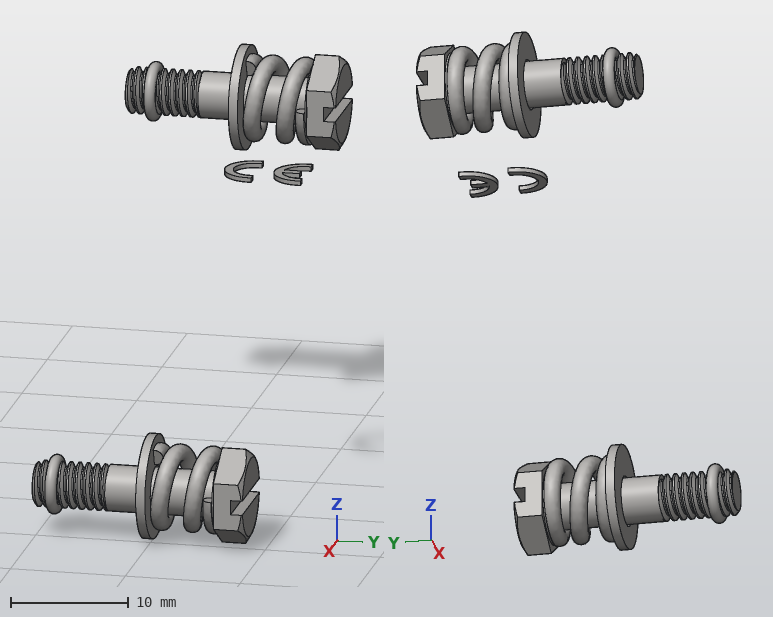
import cadquery as cq
import math


shank_radius = 2.0
shank_length = 16.0
head_flat_width = 7.0
head_corner_width = 8.4
head_side_width = 4.06
head_height = 2.5
head_chamfer_radius = 3.4
head_chamfer_angle = 30
face_ring_radius = 3.25
face_ring_height = 0.2
slot_width = 1.25
slot_depth = 1.0
head_base = shank_length + face_ring_height
head_top = head_base + head_height

thread_length = 6.4
thread_pitch = 0.75
thread_root_radius = 1.58
ridge_root_width = 0.62
ridge_crest_width = 0.15
ridge_sink = 0.05
ridge_start = -0.58
tip_radius = 1.7
tip_chamfer = 0.4
tip_envelope_radius = 2.1

washer_radius = 4.5
washer_bore_radius = 2.15
washer_base = 9.6
washer_thickness = 0.8

wire_radius = 0.75
coil_radius = 3.0
spring_base = washer_base + washer_thickness
spring_top = shank_length
active_pitch = 2.9
closed_pitch = 1.0
active_turns = 1.38
closed_turns = 0.71
points_per_turn = 12

ring_section_radius = 0.5
ring_centre_radius = 2.05

screw_spacing_x = 36.9
screw_spacing_z = 23.95
left_ring_height = 2.2
right_ring_height = 1.7
right_sag_x = -0.2
right_sag_z = 0.32

letter_outer_radius = 2.5
letter_stroke = 0.75
letter_end_length = 0.3
letter_thickness = 0.4
letter_x = 23.2
letter_base_z = 0.5
letter_c_y = 15.95
letter_e_y = 20.24
letter_bar_width = 0.8
letter_bar_tip = -0.25


def cylinder(radius, height, base=0.0):
    return cq.Workplane("XY").workplane(offset=base).circle(radius).extrude(height)


def make_thread_ridge():
    """Right-handed helical ridge, sunk a little into the core and running past both thread ends."""
    sunk_radius = thread_root_radius - ridge_sink
    flank_slope = (ridge_root_width - ridge_crest_width) / (shank_radius - thread_root_radius)
    sunk_half = (ridge_root_width + flank_slope * ridge_sink) / 2
    crest_half = ridge_crest_width / 2
    length = thread_length + thread_pitch - ridge_start
    path = cq.Workplane(cq.Wire.makeHelix(thread_pitch, length, sunk_radius))
    profile = cq.Workplane("XZ").polyline([
        (sunk_radius, -sunk_half),
        (shank_radius, -crest_half),
        (shank_radius, crest_half),
        (sunk_radius, sunk_half),
    ]).close()
    return profile.sweep(path, isFrenet=True).translate((0, 0, ridge_start))


def make_threaded_end():
    envelope = cylinder(tip_envelope_radius, thread_length).faces("<Z").chamfer(
        tip_chamfer, tip_envelope_radius - tip_radius
    )
    core = cylinder(thread_root_radius, thread_length)
    return core.union(make_thread_ridge().intersect(envelope))


def make_head():
    half_flats = head_flat_width / 2
    half_corners = head_corner_width / 2
    half_side = head_side_width / 2
    head = (
        cq.Workplane("XY").workplane(offset=head_base)
        .polyline([
            (half_flats, -half_side),
            (half_flats, half_side),
            (0, half_corners),
            (-half_flats, half_side),
            (-half_flats, -half_side),
            (0, -half_corners),
        ]).close().extrude(head_height)
    )
    cone_radius = head_chamfer_radius + head_height / math.tan(math.radians(head_chamfer_angle))
    envelope = (
        cq.Workplane("XZ")
        .polyline([
            (0, head_base),
            (cone_radius, head_base),
            (head_chamfer_radius, head_top),
            (0, head_top),
        ]).close().revolve(360, (0, 0, 0), (0, 1, 0))
    )
    slot = (
        cq.Workplane("XY").workplane(offset=head_top - slot_depth)
        .rect(2 * head_flat_width, slot_width).extrude(2 * slot_depth)
    )
    return head.intersect(envelope).cut(slot)


def make_ring(height):
    return (
        cq.Workplane("XZ").center(ring_centre_radius, height).circle(ring_section_radius)
        .revolve(360, (-ring_centre_radius, 0, 0), (-ring_centre_radius, 1, 0))
    )


def make_screw(ring):
    threaded = make_threaded_end()
    plain = cylinder(shank_radius, shank_length - thread_length, thread_length)
    face_ring = cylinder(face_ring_radius, face_ring_height, shank_length)
    return threaded.union(plain).union(face_ring).union(make_head()).cut(ring)


def make_washer(sag):
    """Washer disc shifted sideways by its play; its bore stays around the screw."""
    disc = cylinder(washer_radius, washer_thickness, washer_base).translate(sag)
    return disc.cut(cylinder(washer_bore_radius, washer_thickness, washer_base))


def spring_drop(turn):
    """Drop of the wire centre below the top end after the given number of turns."""
    closed_start = min(turn, closed_turns)
    active = min(max(turn - closed_turns, 0), active_turns)
    closed_end = max(turn - closed_turns - active_turns, 0)
    return closed_pitch * (closed_start + closed_end) + active_pitch * active


def make_spring(sag):
    """Left-handed coil, ground flat at both ends and clear of the shank."""
    total_turns = 2 * closed_turns + active_turns
    steps = round(total_turns * points_per_turn)
    middle = (spring_base + spring_top) / 2
    wire_top = middle + spring_drop(total_turns) / 2
    points = []
    for step in range(steps + 1):
        turn = total_turns * step / steps
        angle = 2 * math.pi * turn
        points.append(cq.Vector(
            coil_radius * math.cos(angle),
            coil_radius * math.sin(angle),
            wire_top - spring_drop(turn),
        ))
    path = cq.Edge.makeSpline(points)
    section = cq.Workplane(cq.Plane(points[0], (1, 0, 0), path.tangentAt(0))).circle(wire_radius)
    coil = section.sweep(cq.Workplane(cq.Wire.assembleEdges([path])), isFrenet=True)
    ground_space = cylinder(2 * coil_radius, spring_top - spring_base, spring_base)
    shank = cylinder(shank_radius, shank_length)
    return coil.intersect(ground_space).translate(sag).cut(shank)


def make_screw_set(x, z, ring_height, sag_x, sag_z):
    """Screw, washer, spring and ring, laid so that the head points along +Y."""
    sag = (sag_x, -sag_z, 0)
    ring = make_ring(ring_height)
    bodies = [make_screw(ring), make_washer(sag), make_spring(sag), ring]
    solids = []
    for body in bodies:
        laid = body.rotate((0, 0, 0), (1, 0, 0), -90).translate((x, 0, z))
        solids.append(laid.solids().val())
    return solids


def make_letter_c(y):
    inner_radius = letter_outer_radius - letter_stroke
    return (
        cq.Workplane("XY", origin=(letter_x, y, letter_base_z))
        .moveTo(-letter_outer_radius, letter_end_length)
        .lineTo(-letter_outer_radius, 0)
        .threePointArc((0, -letter_outer_radius), (letter_outer_radius, 0))
        .lineTo(letter_outer_radius, letter_end_length)
        .lineTo(inner_radius, letter_end_length)
        .lineTo(inner_radius, 0)
        .threePointArc((0, -inner_radius), (-inner_radius, 0))
        .lineTo(-inner_radius, letter_end_length)
        .close().extrude(letter_thickness)
    )


def make_letter_e(y):
    bar_root = -(letter_outer_radius - letter_stroke / 2)
    bar = (
        cq.Workplane("XY", origin=(letter_x, y, letter_base_z))
        .center(0, (bar_root + letter_bar_tip) / 2)
        .rect(letter_bar_width, letter_bar_tip - bar_root)
        .extrude(letter_thickness)
    )
    return make_letter_c(y).union(bar)


left_set = make_screw_set(0, 0, left_ring_height, 0, 0)
right_set = make_screw_set(screw_spacing_x, -screw_spacing_z, right_ring_height, right_sag_x, right_sag_z)
letter_c = make_letter_c(letter_c_y)
letter_e = make_letter_e(letter_e_y)

result = cq.Compound.makeCompound([*left_set, *right_set, letter_c.val(), letter_e.solids().val()])